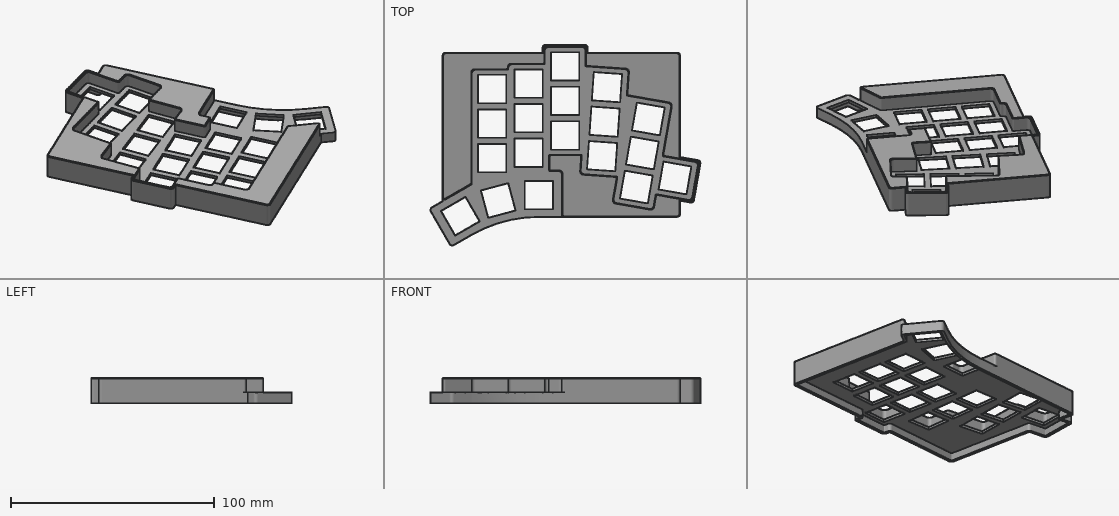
import cadquery as cq
import math


case_height = 12.5
plate_top = 5.5
plate_thickness = 1.5
top_chamfer = 0.4

key_hole = 13.8
column_pitch = 17.9
row_pitch = 17.0
keys_per_column = 3

pocket_half_x = 10.0
pocket_half_y = 9.4
rim = 1.2
outer_half_x = pocket_half_x + rim
outer_half_y = pocket_half_y + rim
wing_half_x = 11.4
wing_half_y = 10.7

side_wall = 1.5

outer_radius = 1.6
pocket_radius = 1.6
pocket_edge_radius = 0.8
deck_corner_radius = 1.0

first_column_x = 30.0
columns = [
    (first_column_x, 60.1, 0),
    (first_column_x + column_pitch, 62.7, 0),
    (first_column_x + 2 * column_pitch, 71.2, 0),
    (85.1, 61.0, -4),
    (103.7, 45.6, -10),
]
outer_key_drop = 9.3
gap_reach = 5.3

thumb_x = 52.9
thumb_y = 24.9
thumb_radius = 77.2
thumb_angles = [0, 15, 30]
thumb_pocket_right = 64.2
thumb_pocket_top = 36.7

deck_left = 5.6
deck_right = 122.3
deck_bottom = thumb_y - wing_half_y
deck_top = 95.0


def local_point(place, along, across):
    """Point given in the tilted frame of a key or column."""
    x, y, tilt = place
    angle = math.radians(tilt)
    return (
        x + along * math.cos(angle) - across * math.sin(angle),
        y + along * math.sin(angle) + across * math.cos(angle),
    )


def moved(place, along, across):
    """Place shifted within its own tilted frame."""
    return (*local_point(place, along, across), place[2])


def block(place, size_x, size_y, height):
    """Tilted block standing on the base, centred on a place."""
    x, y, tilt = place
    turned = cq.Workplane("XY").transformed(offset=(x, y, 0), rotate=(0, 0, tilt))
    return turned.rect(size_x, size_y).extrude(height)


def thumb_place(angle):
    turn = math.radians(angle)
    return (
        thumb_x - thumb_radius * math.sin(turn),
        thumb_y - thumb_radius * (1 - math.cos(turn)),
        angle,
    )


def fillet_corner(prism, corner, height, radius):
    """Round the upright edge of a prism that stands on a given corner."""
    return prism.edges(cq.NearestToPointSelector((*corner, height / 2))).fillet(radius)


def offset_prism(solid, distance, height):
    """Prism on the base whose outline is that of a given prism, grown by a distance."""
    outline = solid.faces("<Z").wires().val()
    return cq.Workplane("XY").newObject(outline.offset2D(distance)).toPending().extrude(height)


outer_key = moved(columns[-1], column_pitch, -outer_key_drop)
thumb_keys = [thumb_place(angle) for angle in thumb_angles]
last_thumb = thumb_keys[-1]
top_key = moved(columns[2], 0, row_pitch)


def thumb_wing(height):
    """Thumb area: straight tip, concave front arc through the fan, straight run to the deck."""
    fronts = [local_point(key, 0, -wing_half_y) for key in thumb_keys]
    tip_front = local_point(last_thumb, -wing_half_x, -wing_half_y)
    tip_back = local_point(last_thumb, -wing_half_x, wing_half_y)
    back = local_point(last_thumb, wing_half_x, wing_half_y)
    right = thumb_pocket_right + rim
    wing = (
        cq.Workplane("XY")
        .moveTo(*tip_back)
        .lineTo(*tip_front)
        .lineTo(*fronts[2])
        .threePointArc(fronts[1], fronts[0])
        .lineTo(right, fronts[0][1])
        .lineTo(right, thumb_pocket_top)
        .lineTo(*back)
        .close()
        .extrude(height)
    )
    for corner in (tip_front, tip_back):
        wing = fillet_corner(wing, corner, height, outer_radius)
    return wing


def wing_back_y(x):
    """Y of the straight back edge of the thumb wing, extended to any X."""
    corner_x, corner_y = local_point(last_thumb, wing_half_x, wing_half_y)
    return corner_y + (x - corner_x) * math.tan(math.radians(last_thumb[2]))


def deck(height):
    """Rectangular deck whose lower left corner is cut away along the thumb wing."""
    return (
        cq.Workplane("XY")
        .moveTo(deck_left, wing_back_y(deck_left))
        .lineTo(*local_point(last_thumb, wing_half_x, wing_half_y))
        .lineTo(*local_point(thumb_keys[0], 0, -wing_half_y))
        .lineTo(deck_right, deck_bottom)
        .lineTo(deck_right, deck_top)
        .lineTo(deck_left, deck_top)
        .close()
        .extrude(height)
    )


def raised_outline(height):
    """Deck with the surrounds of the topmost and the outermost key."""
    corners = [
        (deck_right, deck_bottom),
        (deck_right, deck_top),
        (deck_left, deck_top),
    ]
    body = deck(height)
    for corner in corners:
        body = fillet_corner(body, corner, height, outer_radius)
    for key in (top_key, outer_key):
        surround = block(key, 2 * outer_half_x, 2 * outer_half_y, height)
        body = body.union(surround.edges("|Z").fillet(outer_radius))
    return body


def key_pocket(height):
    """Clearance above the plate around all the finger keys and the thumb wing."""
    width = 2 * pocket_half_x
    column_length = (keys_per_column - 1) * row_pitch + 2 * pocket_half_y
    body = block(outer_key, width, 2 * pocket_half_y, height)
    for column in columns:
        body = body.union(block(column, width, column_length, height))
        if column[2] != 0:
            filler = moved(column, -gap_reach / 2, row_pitch / 2)
            filler_length = row_pitch + 2 * pocket_half_y
            body = body.union(block(filler, width + gap_reach, filler_length, height))

    left = columns[0][0] - pocket_half_x
    step_x = columns[1][0] + pocket_half_x
    clear_of_case = -column_pitch
    wing_side = [
        (clear_of_case, wing_back_y(clear_of_case)),
        (left, wing_back_y(left)),
        (left, columns[0][1]),
        (step_x, columns[0][1]),
        (step_x, thumb_pocket_top),
        (thumb_pocket_right, thumb_pocket_top),
        (thumb_pocket_right, clear_of_case),
        (clear_of_case, clear_of_case),
    ]
    body = body.union(cq.Workplane("XY").polyline(wing_side).close().extrude(height))

    shrunk = offset_prism(body, -pocket_radius, height)
    grown = offset_prism(shrunk, pocket_radius + pocket_edge_radius, height)
    return offset_prism(grown, -pocket_edge_radius, height)


def raised_deck():
    """Full-height deck with the pocket cut out and its top edges broken."""
    body = raised_outline(case_height).cut(key_pocket(case_height))
    beside_wing = [(thumb_pocket_right, deck_bottom), (deck_left, wing_back_y(deck_left))]
    for corner in beside_wing:
        body = fillet_corner(body, corner, case_height, deck_corner_radius)
    return body.faces(">Z").edges().chamfer(top_chamfer)


base = raised_outline(plate_top).union(thumb_wing(plate_top)).clean()
cavity = offset_prism(base, -side_wall, plate_top - plate_thickness)

result = base.union(raised_deck()).cut(cavity)

middle_row = (keys_per_column - 1) / 2
switch_places = [outer_key, *thumb_keys]
for column in columns:
    for row in range(keys_per_column):
        switch_places.append(moved(column, 0, (row - middle_row) * row_pitch))
for place in switch_places:
    result = result.cut(block(place, key_hole, key_hole, plate_top))